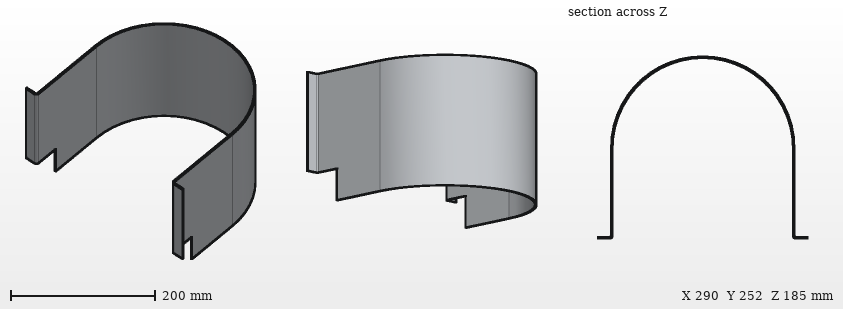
import cadquery as cq

overall_width = 290.0
overall_depth = 252.0
height = 185.0
sheet = 2.0
outer_radius = 127.0
bend_inside_radius = 2.0
notch_height = 45.0
notch_depth = 40.0

inner_radius = outer_radius - sheet
bend_outside_radius = bend_inside_radius + sheet
front_y = outer_radius - overall_depth
flange_back_y = front_y + sheet
bend_center_x = outer_radius + bend_inside_radius
bend_center_y = flange_back_y + bend_inside_radius
flange_length = overall_width / 2 - bend_center_x


def make_arch():
    """Half-round shell carrying the two straight walls."""
    ring = cq.Workplane("XY").circle(outer_radius).circle(inner_radius).extrude(height)
    back_half = cq.Workplane("XY").box(
        2 * outer_radius, outer_radius, height, centered=(True, False, False)
    )
    return ring.intersect(back_half)


def make_side():
    """Right-hand wall, rounded bend and outward flange."""
    wall = (
        cq.Workplane("XY")
        .moveTo(inner_radius, bend_center_y)
        .lineTo(outer_radius, bend_center_y)
        .lineTo(outer_radius, 0)
        .lineTo(inner_radius, 0)
        .close()
        .extrude(height)
    )
    bend_quarter = (
        cq.Workplane("XY")
        .center(bend_center_x, bend_center_y)
        .rect(-bend_outside_radius, -bend_outside_radius, centered=False)
        .extrude(height)
    )
    bend = (
        cq.Workplane("XY")
        .center(bend_center_x, bend_center_y)
        .circle(bend_outside_radius)
        .circle(bend_inside_radius)
        .extrude(height)
        .intersect(bend_quarter)
    )
    flange = (
        cq.Workplane("XY")
        .center(bend_center_x, front_y)
        .rect(flange_length, sheet, centered=False)
        .extrude(height)
    )
    return wall.union(bend).union(flange)


def make_notch():
    """Clearance below the flanges and the front ends of the walls."""
    return (
        cq.Workplane("XY")
        .center(-overall_width / 2, front_y)
        .rect(overall_width, notch_depth, centered=False)
        .extrude(notch_height)
    )


right_side = make_side()
left_side = right_side.mirror("YZ")
result = make_arch().union(right_side).union(left_side).cut(make_notch())